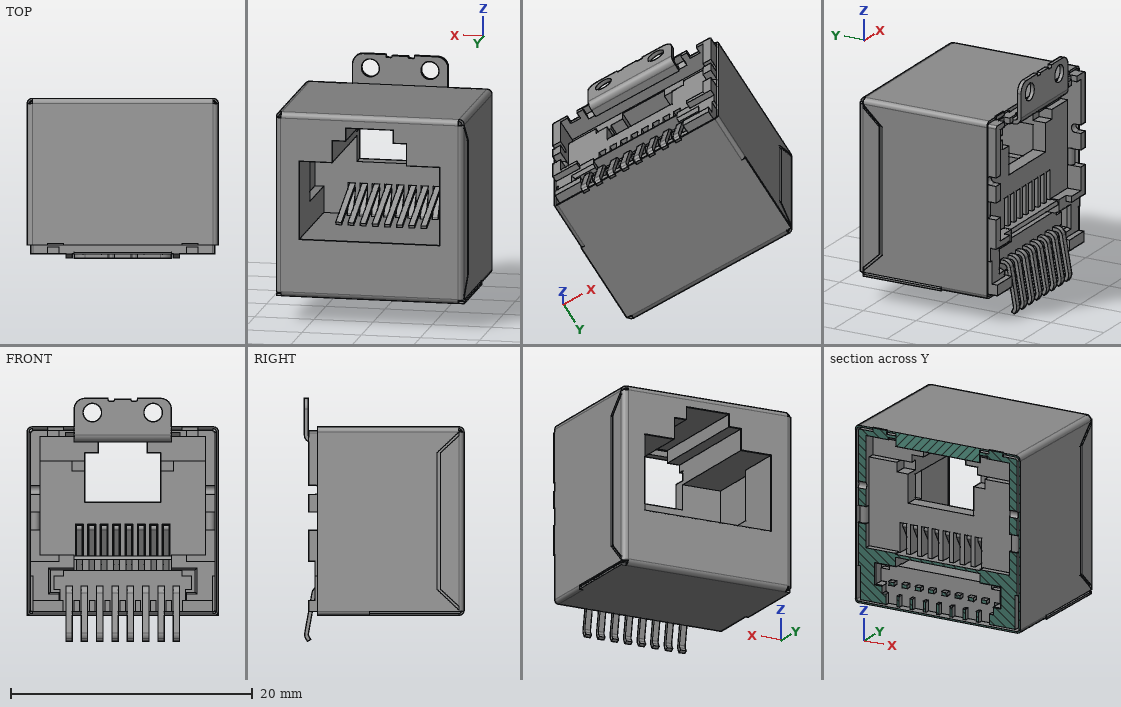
import cadquery as cq
import math


SHIELD_WIDTH = 15.85
SHIELD_TOP = 7.71
SHIELD_BOTTOM = -7.92
SHIELD_FRONT = -5.54
SHIELD_BACK = 6.63
SHEET = 0.18
BEND_RADIUS = 0.45
BOTTOM_BEND_RADIUS = 0.35
BOTTOM_BEND_BACK = -1.2

FLAP_GAP = 0.3
FLAP_FRONT = 4.67
FLAP_ROOT_HALF_HEIGHT = 7.07
FLAP_FRONT_HALF_HEIGHT = 5.65

LUG_INNER = 4.9
LUG_OUTER = 6.22
LUG_DEPTH = 0.16

TAB_WIDTH = 8.05
TAB_FRONT = -6.63
TAB_TOP = 10.07
TAB_BOTTOM = 6.42
TAB_THICKNESS = 0.35
TAB_BEND_RADIUS = 0.6
TAB_CORNER_RADIUS = 0.9
TAB_HOLE_DIAMETER = 1.51
TAB_HOLE_SPACING = 5.04
TAB_HOLE_Z = 8.88
TAB_NOTCH_INNER = 0.68
TAB_NOTCH_OUTER = 1.2
TAB_NOTCH_DEPTH = 0.25
TAB_LOWERED_EDGE = 0.08

HOUSING_WIDTH = 15.27
HOUSING_TOP = 7.4
HOUSING_BOTTOM = -7.61
HOUSING_FRONT = -6.26
HOUSING_EDGE_RADIUS = 0.22

FACE_HALF_WIDTH = 6.87
FACE_Y = -5.0
FACE_BOTTOM = -2.92
FACE_STEP_Z = 4.87
FACE_TOP = 6.89
UPPER_FACE_Y = -4.37

ROOF_GAP_HALF_WIDTH = 4.73
ROOF_UNDERSIDE = 7.23
ROOF_SLOPE_FRONT = -5.64
ROOF_SLOPE_BACK = -5.3
ROOF_FRONT = -6.12
RAIL_NOTCH_INNER = 5.3
RAIL_NOTCH_OUTER = 6.22
RAIL_NOTCH_BOTTOM = 6.83
RAIL_NOTCH_Y = -5.7

WINDOW_HALF_WIDTH = 3.15
WINDOW_BOTTOM = 1.47
WINDOW_TOP = 5.54
LATCH_HALF_WIDTH = 2.01
LATCH_TOP = 6.65
WINDOW_POCKET_OUTER = 4.2
WINDOW_POCKET_BOTTOM = 4.03

CAVITY_HALF_WIDTH = 5.95
CAVITY_FLOOR = -2.98
CAVITY_ROOF = 3.67
CAVITY_FRONT = -3.79
SIDE_LEDGE_HALF_WIDTH = 6.69
SIDE_LEDGE_Z = -0.75
SIDE_LEDGE_BACK = 2.01

ROUND_NOTCH_BOTTOM = 2.11
ROUND_NOTCH_TOP = 2.85
RIDGE_NOTCH_BOTTOM = -0.85
RIDGE_NOTCH_TOP = 0.65
RIDGE_NOTCH_Y = -5.08

PANEL_Y = -5.74
PANEL_TOP = -3.45
PANEL_BOTTOM = -6.67
PANEL_TONGUE_HALF_WIDTH = 5.3
SIDE_STEP_HALF_WIDTH = 7.41
SIDE_STEP_TOP = -4.63
SIDE_STEP_DEPTH = 0.8

SHELF_HALF_WIDTH = 4.03
SHELF_TOP = -3.0
SHELF_BOTTOM = -3.3
SHELF_BEVEL = 0.16
WIRE_GAP_Y = -2.72

CARRIER_POCKET_HALF_WIDTH = 6.15
CARRIER_POCKET_TOP = -3.99
CARRIER_POCKET_BOTTOM = -6.16
CARRIER_POCKET_Y = -4.51
CARRIER_POCKET_BEVEL = 0.16
CARRIER_POCKET_BEVEL_DEPTH = 0.32
CARRIER_Y = -5.05
CARRIER_TOP = -4.19
CARRIER_TOP_HALF_WIDTH = 4.9
CARRIER_EAR_HALF_WIDTH = 5.7
CARRIER_EAR_TOP = -4.63
CARRIER_EAR_BOTTOM = -5.75
CARRIER_BASE_HALF_WIDTH = 5.2
COMB_HALF_WIDTH = 4.95
COMB_WEB_WIDTH = 0.25
COMB_WEB_FRONT = -5.54
COMB_HEAD_WIDTH = 0.45
COMB_HEAD_FRONT = -5.85

CONTACT_COUNT = 8
LEAD_PITCH = 1.27
LEAD_WIDTH = 0.55
LEAD_THICKNESS = 0.32
LEAD_PATH = [(-4.83, -5.65), (-5.75, -5.65), (-6.46, -9.59), (-6.22, -9.99)]
LEAD_BEND_RADIUS = 0.52
SPRING_PITCH = 1.03
SPRING_WIDTH = 0.48
SPRING_THICKNESS = 0.25
SPRING_PATH = [(-2.42, -4.63), (-3.22, -2.9), (-4.73, -0.45), (1.61, -2.62)]
SPRING_BEND_RADIUS = 0.15
SLOT_WIDTH = 0.62
SLOT_TOP = -0.36

SHIELD_HALF_WIDTH = SHIELD_WIDTH / 2
SHIELD_MIDDLE_Z = (SHIELD_TOP + SHIELD_BOTTOM) / 2
FLAP_ROOT = SHIELD_BACK - BEND_RADIUS
HOUSING_BACK = SHIELD_BACK - SHEET
HOUSING_HALF_WIDTH = HOUSING_WIDTH / 2
TAB_HALF_WIDTH = TAB_WIDTH / 2
CARRIER_POCKET_BEVEL_ANGLE = math.degrees(math.atan2(CARRIER_POCKET_BEVEL, CARRIER_POCKET_BEVEL_DEPTH))
TAB_BACK = TAB_FRONT + TAB_THICKNESS
RISER_BACK = SHIELD_FRONT + SHEET
COMB_RIB_COUNT = CONTACT_COUNT - 1


def block(x_range, y_range, z_range):
    """Box spanning the given ranges."""
    low = [min(r) for r in (x_range, y_range, z_range)]
    size = [abs(r[1] - r[0]) for r in (x_range, y_range, z_range)]
    return cq.Workplane("XY").box(*size, centered=False).translate(tuple(low))


def centred_block(half_width, y_range, z_range):
    """Box that is symmetric about X = 0."""
    return block((-half_width, half_width), y_range, z_range)


def both_sides(body):
    """The body together with its mirror image about X = 0."""
    return body.union(body.mirror("YZ"))


def row_positions(count, pitch):
    """X positions of an evenly spaced row centred on X = 0."""
    return [(i - (count - 1) / 2) * pitch for i in range(count)]


def plug_opening(y_range):
    """Stepped outline of the plug and its latch, as a block along Y."""
    body = centred_block(CAVITY_HALF_WIDTH, y_range, (CAVITY_FLOOR, CAVITY_ROOF))
    latch_slot = centred_block(WINDOW_HALF_WIDTH, y_range, (WINDOW_BOTTOM, WINDOW_TOP))
    latch_top = centred_block(LATCH_HALF_WIDTH, y_range, (WINDOW_BOTTOM, LATCH_TOP))
    return body.union(latch_slot).union(latch_top)


def locating_lugs():
    """Low lugs on the housing that fill the notches in the front edge of the shield top."""
    lug = block((LUG_INNER, LUG_OUTER), (SHIELD_FRONT, SHIELD_FRONT + LUG_DEPTH), (HOUSING_TOP, SHIELD_TOP))
    return both_sides(lug)



def shield_shell():
    """Bent sheet box, open at the front."""
    outer = centred_block(SHIELD_HALF_WIDTH, (SHIELD_FRONT, SHIELD_BACK), (SHIELD_BOTTOM, SHIELD_TOP))
    outer = outer.edges("(|Y and >Z) or >Y").fillet(BEND_RADIUS)
    outer = outer.edges("|Y and <Z").fillet(BOTTOM_BEND_RADIUS)
    inner = centred_block(SHIELD_HALF_WIDTH - SHEET, (SHIELD_FRONT, SHIELD_BACK - SHEET),
                          (SHIELD_BOTTOM + SHEET, SHIELD_TOP - SHEET))
    inner = inner.edges("(|Y and >Z) or >Y").fillet(BEND_RADIUS - SHEET)
    inner = inner.edges("|Y and <Z").fillet(BOTTOM_BEND_RADIUS - SHEET)
    return outer.cut(inner)


def bend_reliefs():
    """Cut-outs where the bends meet at the back corners and along the rear of the bottom edges."""
    x_range = (SHIELD_HALF_WIDTH - BEND_RADIUS, SHIELD_HALF_WIDTH)
    back = (SHIELD_BACK - BEND_RADIUS, SHIELD_BACK)
    top_corner = block(x_range, back, (SHIELD_TOP - BEND_RADIUS, SHIELD_TOP))
    bottom_edge = block(x_range, (BOTTOM_BEND_BACK, SHIELD_BACK),
                        (SHIELD_BOTTOM, SHIELD_BOTTOM + BOTTOM_BEND_RADIUS))
    return both_sides(top_corner.union(bottom_edge))


def bottom_wings():
    """Flat side margins of the bottom wall behind the side-to-bottom bends."""
    wing = block((SHIELD_HALF_WIDTH - BEND_RADIUS, SHIELD_HALF_WIDTH), (BOTTOM_BEND_BACK, FLAP_ROOT),
                 (SHIELD_BOTTOM, SHIELD_BOTTOM + SHEET))
    return both_sides(wing)


def flap_gaps():
    """Slots through the side walls around the trapezoidal flaps of the back wall."""
    mid, root, front = SHIELD_MIDDLE_Z, FLAP_ROOT_HALF_HEIGHT, FLAP_FRONT_HALF_HEIGHT
    outer_front = FLAP_FRONT - FLAP_GAP
    outline = [
        (FLAP_ROOT, mid + root), (FLAP_FRONT, mid + front),
        (FLAP_FRONT, mid - front), (FLAP_ROOT, mid - root),
        (FLAP_ROOT, mid - root - FLAP_GAP), (outer_front, mid - front),
        (outer_front, mid + front), (FLAP_ROOT, mid + root + FLAP_GAP),
    ]
    return cq.Workplane("YZ").polyline(outline).close().extrude(SHIELD_HALF_WIDTH, both=True)


def mounting_tab():
    """Upright tab with a bent foot and a riser that joins the front edge of the top wall."""
    foot_top = TAB_BOTTOM + TAB_THICKNESS
    plate = centred_block(TAB_HALF_WIDTH, (TAB_FRONT, TAB_BACK), (TAB_BOTTOM, TAB_TOP))
    plate = plate.edges("|Y and >Z").fillet(TAB_CORNER_RADIUS)
    foot = centred_block(TAB_HALF_WIDTH, (TAB_FRONT, RISER_BACK), (TAB_BOTTOM, foot_top))
    tab = plate.union(foot).edges("|X and <Z and <Y").fillet(TAB_BEND_RADIUS)
    inner_bend = cq.selectors.NearestToPointSelector((0, TAB_BACK, foot_top))
    tab = tab.edges(inner_bend).fillet(TAB_BEND_RADIUS - TAB_THICKNESS)
    riser = centred_block(TAB_HALF_WIDTH, (SHIELD_FRONT, RISER_BACK), (TAB_BOTTOM, SHIELD_TOP))

    thickness = (TAB_FRONT, TAB_BACK)
    notch = block((TAB_NOTCH_INNER, TAB_NOTCH_OUTER), thickness, (TAB_TOP - TAB_NOTCH_DEPTH, TAB_TOP))
    notch = notch.edges("|Y and <Z").fillet(TAB_NOTCH_DEPTH / 2)
    lowered_edge = centred_block(TAB_NOTCH_INNER, thickness, (TAB_TOP - TAB_LOWERED_EDGE, TAB_TOP))
    holes = (
        cq.Workplane("XZ", origin=(0, TAB_BACK, TAB_HOLE_Z))
        .rarray(TAB_HOLE_SPACING, 0.2, 2, 1)
        .circle(TAB_HOLE_DIAMETER / 2)
        .extrude(TAB_THICKNESS)
    )
    return tab.union(riser).cut(both_sides(notch)).cut(lowered_edge).cut(holes)


def make_shield():
    shield = shield_shell().cut(bend_reliefs()).union(bottom_wings()).cut(flap_gaps()).cut(locating_lugs())
    shield = shield.cut(plug_opening((HOUSING_BACK, SHIELD_BACK)))
    return shield.union(mounting_tab())



def housing_blank():
    blank = centred_block(HOUSING_HALF_WIDTH, (HOUSING_FRONT, HOUSING_BACK), (HOUSING_BOTTOM, HOUSING_TOP))
    return blank.edges("(|Y and >Z) or >Y").fillet(HOUSING_EDGE_RADIUS)


def front_recess():
    """Recess of the main face, its deeper upper part and the openings in the top rail."""
    lower = centred_block(FACE_HALF_WIDTH, (HOUSING_FRONT, FACE_Y), (FACE_BOTTOM, FACE_TOP))
    upper = centred_block(FACE_HALF_WIDTH, (HOUSING_FRONT, UPPER_FACE_Y), (FACE_STEP_Z, FACE_TOP))
    under_roof = (
        cq.Workplane("YZ")
        .polyline([(HOUSING_FRONT, FACE_TOP), (HOUSING_FRONT, ROOF_UNDERSIDE),
                   (ROOF_SLOPE_FRONT, ROOF_UNDERSIDE), (ROOF_SLOPE_BACK, FACE_TOP)])
        .close()
        .extrude(ROOF_GAP_HALF_WIDTH, both=True)
    )
    roof_edge = centred_block(TAB_HALF_WIDTH, (HOUSING_FRONT, ROOF_FRONT), (FACE_TOP, HOUSING_TOP))
    riser_slot = centred_block(TAB_HALF_WIDTH, (SHIELD_FRONT, RISER_BACK), (FACE_TOP, HOUSING_TOP))
    rail_notch = block((RAIL_NOTCH_INNER, RAIL_NOTCH_OUTER), (HOUSING_FRONT, RAIL_NOTCH_Y),
                       (RAIL_NOTCH_BOTTOM, HOUSING_TOP))
    roof_openings = under_roof.union(roof_edge).union(riser_slot).union(both_sides(rail_notch))
    return lower.union(upper).union(roof_openings)


def plug_cavity():
    """Cavity for the plug, the window for its latch and the ledges beside it."""
    cavity = plug_opening((CAVITY_FRONT, HOUSING_BACK))
    window_depth = (FACE_Y, CAVITY_FRONT)
    window = centred_block(WINDOW_HALF_WIDTH, window_depth, (WINDOW_BOTTOM, WINDOW_TOP))
    latch = centred_block(LATCH_HALF_WIDTH, window_depth, (WINDOW_BOTTOM, LATCH_TOP))
    pockets = centred_block(WINDOW_POCKET_OUTER, window_depth, (WINDOW_POCKET_BOTTOM, FACE_STEP_Z))
    ledges = centred_block(SIDE_LEDGE_HALF_WIDTH, (CAVITY_FRONT, SIDE_LEDGE_BACK), (SIDE_LEDGE_Z, CAVITY_ROOF))
    return cavity.union(window).union(latch).union(pockets).union(ledges)


def side_rail_notches():
    """Round-bottomed notches and ridged notches in the side rails."""
    rail = (FACE_HALF_WIDTH, HOUSING_HALF_WIDTH)
    rail_width = HOUSING_HALF_WIDTH - FACE_HALF_WIDTH

    round_notch = block(rail, (HOUSING_FRONT, PANEL_Y), (ROUND_NOTCH_BOTTOM, ROUND_NOTCH_TOP))
    round_bottom = (
        cq.Workplane("YZ", origin=(FACE_HALF_WIDTH, PANEL_Y, (ROUND_NOTCH_BOTTOM + ROUND_NOTCH_TOP) / 2))
        .circle((ROUND_NOTCH_TOP - ROUND_NOTCH_BOTTOM) / 2)
        .extrude(rail_width)
    )
    ridge_notch = block(rail, (HOUSING_FRONT, RIDGE_NOTCH_Y), (RIDGE_NOTCH_BOTTOM, RIDGE_NOTCH_TOP))
    ridge = (
        cq.Workplane("XY", origin=(FACE_HALF_WIDTH + rail_width / 2, RIDGE_NOTCH_Y, RIDGE_NOTCH_BOTTOM))
        .circle(rail_width / 2)
        .extrude(RIDGE_NOTCH_TOP - RIDGE_NOTCH_BOTTOM)
    )
    return both_sides(round_notch.union(round_bottom).union(ridge_notch.cut(ridge)))


def lower_front_cuts():
    """Set-back of the lower panel and the narrower lower sides."""
    panel = centred_block(HOUSING_HALF_WIDTH, (HOUSING_FRONT, PANEL_Y), (PANEL_BOTTOM, PANEL_TOP))
    tongue = centred_block(PANEL_TONGUE_HALF_WIDTH, (HOUSING_FRONT, PANEL_Y), (PANEL_TOP, FACE_BOTTOM))
    side_step = block((SIDE_STEP_HALF_WIDTH, HOUSING_HALF_WIDTH), (HOUSING_FRONT, PANEL_Y + SIDE_STEP_DEPTH),
                      (HOUSING_BOTTOM, SIDE_STEP_TOP))
    return panel.union(tongue).union(both_sides(side_step))


def carrier_pocket():
    """Pocket for the contact carrier, the opening under the shelf and the gap for the leads."""
    depth = (PANEL_Y, CARRIER_POCKET_Y)
    mouth = (
        cq.Workplane("XZ", origin=(0, PANEL_Y, (CARRIER_POCKET_TOP + CARRIER_POCKET_BOTTOM) / 2))
        .rect(2 * CARRIER_POCKET_HALF_WIDTH, CARRIER_POCKET_TOP - CARRIER_POCKET_BOTTOM)
        .extrude(-CARRIER_POCKET_BEVEL_DEPTH, taper=CARRIER_POCKET_BEVEL_ANGLE)
    )
    pocket = centred_block(
        CARRIER_POCKET_HALF_WIDTH - CARRIER_POCKET_BEVEL, depth,
        (CARRIER_POCKET_BOTTOM + CARRIER_POCKET_BEVEL, CARRIER_POCKET_TOP - CARRIER_POCKET_BEVEL),
    )
    base = centred_block(PANEL_TONGUE_HALF_WIDTH, depth, (PANEL_BOTTOM, CARRIER_EAR_BOTTOM))
    above_shelf = centred_block(SHELF_HALF_WIDTH, (PANEL_Y, FACE_Y), (SHELF_TOP, FACE_BOTTOM))
    under_shelf = centred_block(SHELF_HALF_WIDTH, (PANEL_Y, WIRE_GAP_Y), (CARRIER_TOP, SHELF_BOTTOM))
    lead_gap = centred_block(COMB_HALF_WIDTH, (HOUSING_FRONT, CARRIER_Y), (HOUSING_BOTTOM, PANEL_BOTTOM))
    bevel = (
        cq.Workplane("YZ")
        .polyline([(PANEL_Y, SHELF_TOP), (PANEL_Y + SHELF_BEVEL, SHELF_TOP), (PANEL_Y, SHELF_BOTTOM)])
        .close()
        .extrude(SHELF_HALF_WIDTH, both=True)
    )
    return mouth.union(pocket).union(base).union(above_shelf).union(under_shelf).union(lead_gap).union(bevel)


def contact_slots():
    """Comb slots in the main face for the spring ends."""
    slot = centred_block(SLOT_WIDTH / 2, (FACE_Y, CAVITY_FRONT), (SHELF_TOP, SLOT_TOP))
    return [slot.translate((x, 0, 0)) for x in row_positions(CONTACT_COUNT, SPRING_PITCH)]


def contact_carrier():
    """Stepped carrier plate with a comb of T-shaped ribs between the leads."""
    depth = (CARRIER_Y, CARRIER_POCKET_Y)
    carrier = centred_block(CARRIER_TOP_HALF_WIDTH, depth, (PANEL_BOTTOM, CARRIER_TOP))
    ears = centred_block(CARRIER_EAR_HALF_WIDTH, depth, (CARRIER_EAR_BOTTOM, CARRIER_EAR_TOP))
    base = centred_block(CARRIER_BASE_HALF_WIDTH, depth, (PANEL_BOTTOM, CARRIER_EAR_BOTTOM))
    carrier = carrier.union(ears).union(base)
    height = (HOUSING_BOTTOM, PANEL_BOTTOM)
    for x in row_positions(COMB_RIB_COUNT, LEAD_PITCH):
        web = centred_block(COMB_WEB_WIDTH / 2, (COMB_WEB_FRONT, CARRIER_Y), height)
        head = centred_block(COMB_HEAD_WIDTH / 2, (COMB_HEAD_FRONT, COMB_WEB_FRONT), height)
        carrier = carrier.union(web.union(head).translate((x, 0, 0)))
    return carrier


def bent_strip(path, width, thickness, bend_radius):
    """Flat strip along a (y, z) centre line whose corners are rounded to the bend radius."""
    centre_line = cq.Wire.makePolygon([cq.Vector(0, y, z) for y, z in path]).fillet(bend_radius)
    start = cq.Plane(origin=centre_line.startPoint(), xDir=(1, 0, 0), normal=centre_line.tangentAt(0))
    return cq.Workplane(start).rect(width, thickness).sweep(cq.Workplane(centre_line))


def make_jack():
    jack = housing_blank()
    for cutter in (front_recess(), plug_cavity(), side_rail_notches(), lower_front_cuts(), carrier_pocket()):
        jack = jack.cut(cutter)
    for slot in contact_slots():
        jack = jack.cut(slot)
    jack = jack.union(locating_lugs()).union(contact_carrier())
    lead = bent_strip(LEAD_PATH, LEAD_WIDTH, LEAD_THICKNESS, LEAD_BEND_RADIUS)
    spring = bent_strip(SPRING_PATH, SPRING_WIDTH, SPRING_THICKNESS, SPRING_BEND_RADIUS)
    for x in row_positions(CONTACT_COUNT, LEAD_PITCH):
        jack = jack.union(lead.translate((x, 0, 0)))
    for x in row_positions(CONTACT_COUNT, SPRING_PITCH):
        jack = jack.union(spring.translate((x, 0, 0)))
    return jack


shield = make_shield()
jack = make_jack()
result = cq.Compound.makeCompound([shield.solids().val(), jack.solids().val()])